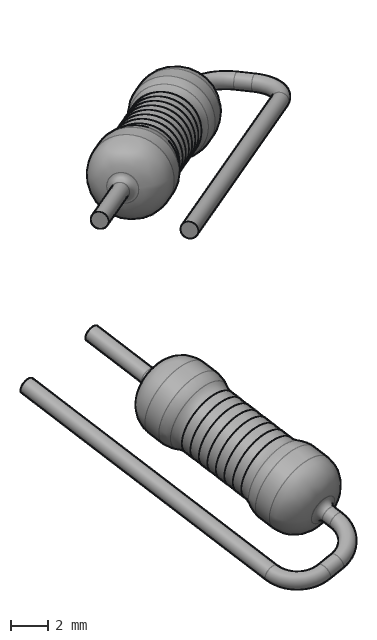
import cadquery as cq
import math


total_length = 20.8
wire_diameter = 1.0
wire_radius = wire_diameter / 2
lead_spacing = 5 * wire_diameter
bend_radius = 2 * wire_diameter
tip_y = -10.96
bend_top_y = tip_y + total_length - wire_radius
bend_start_y = bend_top_y - bend_radius

cap_radius = 4.8 / 2
neck_radius = 4.08 / 2
band_radius = 4.1 / 2
neck_half_length = 2.23
flare_length = 1.4
cap_straight_length = 1.05
dome_radius = 1.68
collar_radius = 0.44

band_count = 4
band_width = 2 * neck_half_length / (2 * band_count - 1)


def point_on_arc(center, radius, degrees):
    angle = math.radians(degrees)
    return center[0] + radius * math.cos(angle), center[1] + radius * math.sin(angle)


def make_body_end():
    """Revolve the S-shaped flare, domed cap and collar around the Y axis."""
    flare_step = (cap_radius - neck_radius) / 2
    half_flare = flare_length / 2
    flare_radius = (half_flare**2 + flare_step**2) / (2 * flare_step)
    flare_angle = math.degrees(math.asin(half_flare / flare_radius))
    cap_start_y = neck_half_length + flare_length
    concave_center = (neck_radius + flare_radius, neck_half_length)
    convex_center = (cap_radius - flare_radius, cap_start_y)

    dome_center = (cap_radius - dome_radius, cap_start_y + cap_straight_length)
    collar_center_x = wire_radius + collar_radius
    contact_angle = math.degrees(
        math.acos((collar_center_x - dome_center[0]) / (dome_radius + collar_radius))
    )
    collar_rise = (dome_radius + collar_radius) * math.sin(math.radians(contact_angle))
    collar_center = (collar_center_x, dome_center[1] + collar_rise)
    collar_middle_angle = (180 + 180 + contact_angle) / 2

    return (
        cq.Workplane("XY")
        .moveTo(0, neck_half_length)
        .lineTo(neck_radius, neck_half_length)
        .threePointArc(
            point_on_arc(concave_center, flare_radius, 180 - flare_angle / 2),
            point_on_arc(concave_center, flare_radius, 180 - flare_angle),
        )
        .threePointArc(
            point_on_arc(convex_center, flare_radius, -flare_angle / 2),
            (cap_radius, cap_start_y),
        )
        .lineTo(cap_radius, dome_center[1])
        .threePointArc(
            point_on_arc(dome_center, dome_radius, contact_angle / 2),
            point_on_arc(dome_center, dome_radius, contact_angle),
        )
        .threePointArc(
            point_on_arc(collar_center, collar_radius, collar_middle_angle),
            (wire_radius, collar_center[1]),
        )
        .lineTo(0, collar_center[1])
        .close()
        .revolve(360, (0, 0, 0), (0, 1, 0))
    )


def rod_along_y(radius, start_y, length):
    return cq.Workplane("XZ", origin=(0, start_y, 0)).circle(radius).extrude(-length)


def make_wire():
    diagonal = bend_radius * math.sqrt(0.5)
    bend_end_x = lead_spacing - bend_radius
    path = (
        cq.Workplane("XY")
        .moveTo(0, tip_y)
        .lineTo(0, bend_start_y)
        .threePointArc(
            (bend_radius - diagonal, bend_start_y + diagonal),
            (bend_radius, bend_top_y),
        )
        .lineTo(bend_end_x, bend_top_y)
        .threePointArc(
            (bend_end_x + diagonal, bend_start_y + diagonal),
            (lead_spacing, bend_start_y),
        )
        .lineTo(lead_spacing, tip_y)
    )
    return cq.Workplane("XZ", origin=(0, tip_y, 0)).circle(wire_radius).sweep(path)


body_end = make_body_end()
neck = rod_along_y(neck_radius, -neck_half_length, 2 * neck_half_length)
result = neck.union(body_end).union(body_end.mirror("XZ"))
for band in range(band_count):
    band_start_y = -neck_half_length + 2 * band * band_width
    result = result.union(rod_along_y(band_radius, band_start_y, band_width))
result = result.union(make_wire())